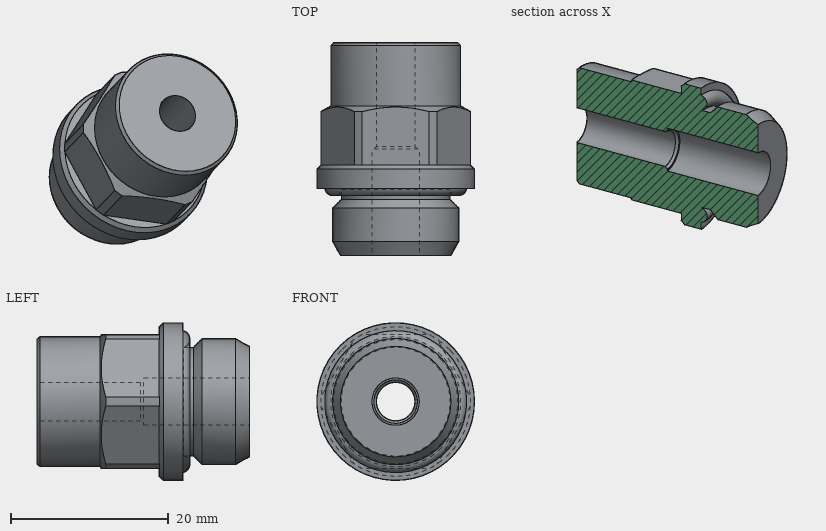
import cadquery as cq
import math


plug_dia = 16.0
plug_tip_dia = 14.0
groove_dia = 13.8
seal_dia = 18.04
seal_section_dia = 2.15
flange_dia = 20.0
hex_corner_dia = 19.0
stub_dia = 16.5
bore_dia = 6.0
seat_dia = 5.5
passage_dia = 4.85

plug_tip_end = 1.78
plug_end = 6.02
groove_start = plug_end + (plug_dia - groove_dia) / 2
seal_start = 7.6
flange_start = 8.48
flange_end = 11.48
hex_end = 18.98
total_length = 27.0
bore_depth = 13.5

hex_across_flats = 17.0
hex_chamfer_angle = 30.0
flange_chamfer = 0.5
stub_chamfer = 0.38


def revolve_profile(profile):
    return profile.close().revolve(360, (0, 0, 0), (0, 1, 0))


def cylinder(diameter, start, end):
    return cq.Workplane("XZ", origin=(0, start, 0)).circle(diameter / 2).extrude(start - end)


def plug():
    """Plug with a tapered tip and a relief groove running up to the flange."""
    return revolve_profile(
        cq.Workplane("XY")
        .lineTo(plug_tip_dia / 2, 0)
        .lineTo(plug_dia / 2, plug_tip_end)
        .lineTo(plug_dia / 2, plug_end)
        .lineTo(groove_dia / 2, groove_start)
        .lineTo(groove_dia / 2, flange_end)
        .lineTo(0, flange_end)
    )


def seal_ring():
    """O-ring around the groove, partly sunk into the flange face."""
    section_radius = seal_section_dia / 2
    ring_radius = seal_dia / 2 - section_radius
    section = cq.Workplane("XY").center(ring_radius, seal_start + section_radius).circle(section_radius)
    return section.revolve(360, (-ring_radius, 0, 0), (-ring_radius, 1, 0))


def flange():
    return cylinder(flange_dia, flange_start, flange_end).faces(">Y").chamfer(flange_chamfer)


def hexagon():
    """Hexagon with flats facing +Z and -Z, its corners turned down and chamfered."""
    across_corners = hex_across_flats / math.cos(math.pi / 6)
    prism = (
        cq.Workplane("XZ", origin=(0, flange_start, 0))
        .polygon(6, across_corners)
        .extrude(flange_start - hex_end)
    )
    chamfer_width = (hex_corner_dia - stub_dia) / 2
    chamfer_height = chamfer_width * math.tan(math.radians(hex_chamfer_angle))
    turned_envelope = revolve_profile(
        cq.Workplane("XY")
        .moveTo(0, flange_start)
        .lineTo(hex_corner_dia / 2, flange_start)
        .lineTo(hex_corner_dia / 2, hex_end - chamfer_height)
        .lineTo(stub_dia / 2, hex_end)
        .lineTo(0, hex_end)
    )
    return prism.intersect(turned_envelope)


def stub():
    return cylinder(stub_dia, flange_end, total_length).faces(">Y").chamfer(stub_chamfer)


def stepped_bore():
    """Wide bore from the plug face, a flat shoulder, a 45 degree seat and the through passage."""
    seat_end = bore_depth + (seat_dia - passage_dia) / 2
    return revolve_profile(
        cq.Workplane("XY")
        .lineTo(bore_dia / 2, 0)
        .lineTo(bore_dia / 2, bore_depth)
        .lineTo(seat_dia / 2, bore_depth)
        .lineTo(passage_dia / 2, seat_end)
        .lineTo(passage_dia / 2, total_length)
        .lineTo(0, total_length)
    )


body = plug().union(seal_ring()).union(flange()).union(hexagon()).union(stub())
result = body.cut(stepped_bore())